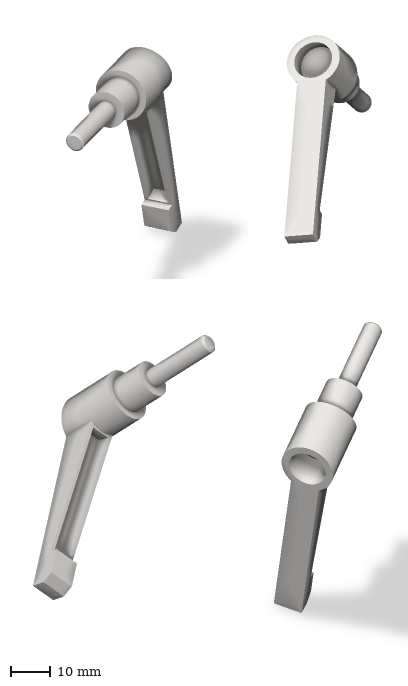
import cadquery as cq
import math

hub_diameter = 14.0
hub_top_length = 14.25
bore_diameter = 10.0
back_angle = 15.0

arm_width = 7.6
arm_length = 58.5
grip_start = 49.15
grip_thickness = 6.1
neck_thickness = 3.95
tail_thickness = 3.8
bevel_length = 2.35
arm_root_y = 8.45
arm_root_z = -5.55

pocket_width = 5.5
pocket_top_z = -7.3
pocket_bottom_z = -41.0
pocket_depth = 3.7

bushing_projection = 9.0
bushing_insertion = 10.0
stud_diameter = 5.0
stud_chamfer = 0.5
total_length = 58.4

hub_radius = hub_diameter / 2
tilt = math.radians(back_angle)
tail_y = hub_top_length + arm_length * math.sin(tilt)
stud_length = total_length - tail_y - bushing_projection


def arm_point(along, thickness):
    """(Y, Z) of a point given along the back face from its top, and square to it."""
    return (
        hub_top_length + along * math.sin(tilt) - thickness * math.cos(tilt),
        hub_radius - along * math.cos(tilt) - thickness * math.sin(tilt),
    )


def cylinder_along_y(diameter, start_y, end_y):
    """Round bar on the hub axis; start_y is its front end."""
    return (
        cq.Workplane("XZ", origin=(0, start_y, 0))
        .circle(diameter / 2)
        .extrude(start_y - end_y)
    )


def side_profile(points, width):
    """Solid with the given (Y, Z) outline, centred on X = 0."""
    return cq.Workplane("YZ").polyline(points).close().extrude(width / 2, both=True)


def make_hub():
    """Cylinder whose back end is trimmed by the slanted back face."""
    back_bottom_y = hub_top_length + hub_diameter * math.tan(tilt)
    envelope = side_profile(
        [
            (0, hub_radius),
            (hub_top_length, hub_radius),
            (back_bottom_y, -hub_radius),
            (0, -hub_radius),
        ],
        hub_diameter,
    )
    return cylinder_along_y(hub_diameter, 0, back_bottom_y).intersect(envelope)


def make_arm():
    """Tapered arm ending in a thicker, bevelled grip."""
    back_at_root = (hub_radius - arm_root_z) / math.cos(tilt)
    return side_profile(
        [
            arm_point(back_at_root, 0),
            arm_point(arm_length, 0),
            arm_point(arm_length, tail_thickness),
            arm_point(arm_length - bevel_length, grip_thickness),
            arm_point(grip_start, grip_thickness),
            arm_point(grip_start, neck_thickness),
            (arm_root_y, arm_root_z),
        ],
        arm_width,
    )


def make_pocket():
    """Pocket sunk square to the arm's front face."""
    neck_y, neck_z = arm_point(grip_start, neck_thickness)
    front_slope = (neck_y - arm_root_y) / (arm_root_z - neck_z)
    front_tilt = math.atan(front_slope)
    depth_y = pocket_depth * math.cos(front_tilt)
    depth_z = pocket_depth * math.sin(front_tilt)
    top_y = arm_root_y + (arm_root_z - pocket_top_z) * front_slope
    bottom_y = arm_root_y + (arm_root_z - pocket_bottom_z) * front_slope
    return side_profile(
        [
            (top_y, pocket_top_z),
            (bottom_y, pocket_bottom_z),
            (bottom_y + depth_y, pocket_bottom_z + depth_z),
            (top_y + depth_y, pocket_top_z + depth_z),
        ],
        pocket_width,
    )


def make_handle():
    """Hub and lever arm in one piece, bored right through along the hub axis."""
    bore = cylinder_along_y(bore_diameter, 0, 2 * hub_top_length)
    return make_hub().union(make_arm()).cut(bore).cut(make_pocket())


def make_bushing():
    """Plain bushing that fills the front part of the bore."""
    return cylinder_along_y(bore_diameter, -bushing_projection, bushing_insertion)


def make_stud():
    """Stud standing on the bushing, chamfered at its free end."""
    free_end_y = -bushing_projection - stud_length
    stud = cylinder_along_y(stud_diameter, free_end_y, -bushing_projection)
    return stud.faces("<Y").chamfer(stud_chamfer)


handle = make_handle()
bushing = make_bushing()
stud = make_stud()

result = cq.Compound.makeCompound([handle.val(), bushing.val(), stud.val()])